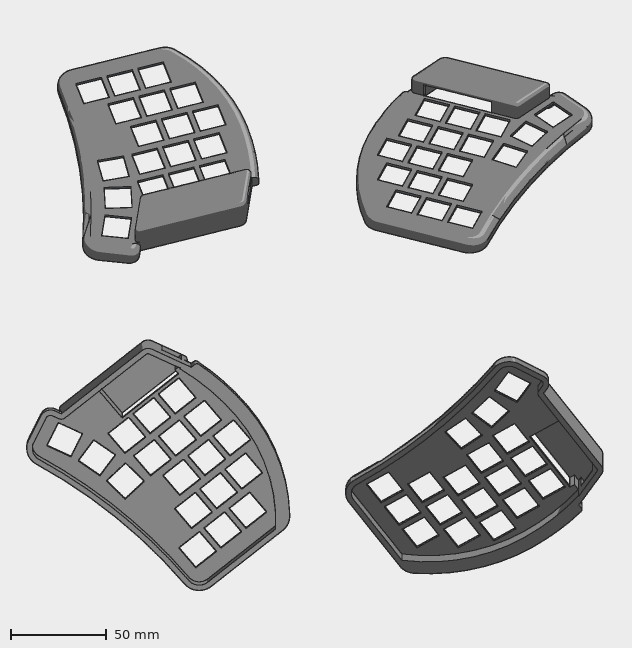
import cadquery as cq
import math


plate_top = 7.5
plate_thickness = 1.5
rim_fillet = 4.0
wall = 3.0
back_wall = 7.5

left_x = -18.6
front_left = (left_x, -16.1)
front_mid = (39.4, -20.1)
front_right = (99.7, -37.8)
crest = (44.9, 70.6)
back_left_radius = 97.5
back_right_radius = 129.1
thumb_angle = 25.0
thumb_end_length = 30.0
corner_radius = 10.0
thumb_corner_radius = 5.5
back_end_radius = 1.7

key_size = 14.0
column_pitch = 18.0
row_pitch = 34.0 / 2
row_count = 3
column_starts = [0, 11.9, 18.6, 13.5, 11.0]
thumb_keys = [(52.9, -5.4, 5), (72.2, -8.9, 15), (90.5, -15.6, 25)]

housing_left = 80.7
housing_right = 104.0
housing_back = 61.8
housing_length = 61.1
housing_top = 17.0
housing_left_radius = 2.5
shoulder_radius = 5.0
tail_radius = 1.8
housing_fillet = 2.1

bay_roof = housing_top - housing_fillet
bay_front = 15.2
bay_corner_radius = 1.5
opening_back = 53.2
port_left = 85.7
port_right = 96.0
port_sill = 7.0

pick_reach = 0.1

thumb_turn = math.radians(thumb_angle)
slope = math.tan(thumb_turn)
shoulder = (housing_right, housing_back - (housing_right - housing_left) * slope)
thumb_tip = (
    front_right[0] + thumb_end_length * math.sin(thumb_turn),
    front_right[1] + thumb_end_length * math.cos(thumb_turn),
)


def thumb_back_point(x):
    """Point at x on the sloping back edge of the thumb end."""
    return (x, thumb_tip[1] + (thumb_tip[0] - x) * slope)


def back_arc_point(radius, x, inset=0):
    """Point at x on a back arc moved inward by inset; the arc is level at the crest."""
    return (x, crest[1] - radius + math.sqrt((radius - inset) ** 2 - (x - crest[0]) ** 2))


def start_outline():
    """Front arc and thumb end of the case."""
    outline = cq.Workplane("XY").moveTo(*front_left)
    return outline.threePointArc(front_mid, front_right).lineTo(*thumb_tip)


def add_back_arcs(outline, right_x, inset=0):
    """Continue an outline along the two back arcs, from right_x to the left side."""
    right_mid = back_arc_point(back_right_radius, (right_x + crest[0]) / 2, inset)
    left_mid = back_arc_point(back_left_radius, (left_x + crest[0]) / 2, inset)
    return (
        outline.lineTo(*back_arc_point(back_right_radius, right_x, inset))
        .threePointArc(right_mid, (crest[0], crest[1] - inset))
        .threePointArc(left_mid, back_arc_point(back_left_radius, left_x, inset))
    )


def round_upright(body, point, radius):
    """Round the upright edge that stands at a point of the outline."""
    x, y = point
    low = (x - pick_reach, y - pick_reach, 0)
    high = (x + pick_reach, y + pick_reach, housing_top)
    around = cq.selectors.BoxSelector(low, high)
    return body.edges(around).edges("|Z").fillet(radius)


def round_case_corners(body):
    for point in [front_left, front_right, back_arc_point(back_left_radius, left_x)]:
        body = round_upright(body, point, corner_radius)
    return round_upright(body, thumb_tip, thumb_corner_radius)


def box(x_range, y_range, z_range):
    size = [high - low for low, high in (x_range, y_range, z_range)]
    return cq.Workplane("XY").box(*size, centered=False).translate((x_range[0], y_range[0], z_range[0]))


def square_edged_case():
    """The full case outline, with square top edges."""
    outline = start_outline().lineTo(*thumb_back_point(housing_right)).lineTo(*shoulder)
    outline = add_back_arcs(outline.lineTo(housing_left, housing_back), housing_left)
    body = round_case_corners(outline.close().extrude(plate_top))
    body = round_upright(body, back_arc_point(back_right_radius, housing_left), back_end_radius)
    return round_upright(body, shoulder, shoulder_radius)


def rimmed_case():
    """The case with a rounded rim; its plain right side lies within the housing base."""
    plain_x = (housing_left + housing_right) / 2
    outline = add_back_arcs(start_outline().lineTo(*thumb_back_point(plain_x)), plain_x)
    body = round_case_corners(outline.close().extrude(plate_top))
    top_edges = body.faces(">Z").edges()
    rim = top_edges.filter(lambda edge: abs(edge.Center().x - plain_x) > pick_reach)
    return rim.fillet(rim_fillet)


def housing_base():
    """Square-edged plate under the housing, reaching over the rounded rim in front of it."""
    overlap = 1.3 * rim_fillet
    front_ends = [thumb_back_point(x) for x in (housing_right, housing_left)]
    outline = [(housing_left, housing_back), shoulder]
    outline += [(x, y - overlap) for x, y in front_ends]
    return cq.Workplane("XY").polyline(outline).close().extrude(plate_top)


def housing():
    tail = (housing_right, shoulder[1] - housing_length)
    outline = [
        (housing_left, housing_back),
        shoulder,
        tail,
        (housing_left, housing_back - housing_length),
    ]
    body = cq.Workplane("XY").polyline(outline).close().extrude(housing_top)
    body = body.edges("|Z and <X").fillet(housing_left_radius)
    body = round_upright(body, shoulder, shoulder_radius)
    body = round_upright(body, tail, tail_radius)
    return body.faces(">Z").edges().fillet(housing_fillet)


def case_cavity(case):
    """Hollow below the plate: an even wall all round, thicker along the back arcs."""
    base_wire = case.faces("<Z").wires().val()
    hollow = cq.Workplane("XY").add(base_wire).toPending().offset2D(-wall)
    hollow = hollow.extrude(plate_top - plate_thickness)
    front_y = front_right[1]
    limit = cq.Workplane("XY").moveTo(left_x, front_y).lineTo(thumb_tip[0], front_y)
    limit = add_back_arcs(limit, thumb_tip[0], back_wall).close().extrude(plate_top)
    return hollow.intersect(limit)


def controller_bay():
    """Hollow of the housing with a slanted back, open to the keys through the left wall."""
    bay_left = housing_left + wall
    bay_right = housing_right - wall
    slanted_wall = wall / math.cos(thumb_turn)
    back_left = (bay_left, housing_back - slanted_wall - wall * slope)
    back_right = (bay_right, shoulder[1] - slanted_wall + wall * slope)
    outline = [(bay_left, bay_front), (bay_right, bay_front), back_right, back_left]
    bay = cq.Workplane("XY").polyline(outline).close().extrude(bay_roof)
    bay = round_upright(bay, back_right, bay_corner_radius)
    side_opening = box((housing_left, bay_left), (bay_front, opening_back), (0, bay_roof))
    port = box((port_left, port_right), (back_right[1], housing_back), (port_sill, bay_roof))
    return bay.union(side_opening).union(port)


def key_opening(x, y, angle=0):
    cutter = cq.Workplane("XY").rect(key_size, key_size).extrude(plate_top)
    return cutter.rotate((0, 0, 0), (0, 0, 1), -angle).translate((x, y, 0))


full_case = square_edged_case()
body = rimmed_case().union(housing_base()).intersect(full_case).union(housing())
body = body.cut(case_cavity(full_case)).cut(controller_bay())

for column, start in enumerate(column_starts):
    for row in range(row_count):
        body = body.cut(key_opening(column * column_pitch, start + row * row_pitch))
for x, y, angle in thumb_keys:
    body = body.cut(key_opening(x, y, angle))

result = body